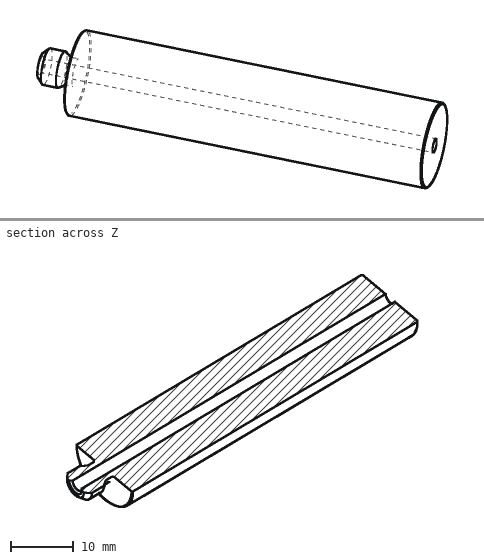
import cadquery as cq

total_length = 66.0
body_diameter = 14.0
body_edge_chamfer = 0.2

nipple_length = 6.0
head_diameter = 6.0
nose_radius = 2.1
nose_chamfer_length = 0.9
head_length = 3.4
neck_radius = 2.25
neck_start = 4.55
neck_blend_radius = 0.5
neck_root_fillet = 0.4

bore_radius = 1.1
bore_mouth_chamfer = 0.4

body_radius = body_diameter / 2
head_radius = head_diameter / 2
x_start = -total_length / 2
x_end = total_length / 2
x_shoulder = x_start + nipple_length


def make_body():
    """Long cylinder with both rims chamfered."""
    return (
        cq.Workplane("YZ", origin=(x_shoulder, 0, 0))
        .circle(body_radius)
        .extrude(total_length - nipple_length)
        .edges("%CIRCLE")
        .chamfer(body_edge_chamfer)
    )


def make_nipple():
    """Revolved nipple: tapered nose, cylindrical head, cone down to the neck."""
    nipple = (
        cq.Workplane("XY")
        .moveTo(x_start, 0)
        .lineTo(x_start, nose_radius)
        .lineTo(x_start + nose_chamfer_length, head_radius)
        .lineTo(x_start + head_length, head_radius)
        .lineTo(x_start + neck_start, neck_radius)
        .lineTo(x_shoulder, neck_radius)
        .lineTo(x_shoulder, 0)
        .close()
        .revolve(360, (0, 0, 0), (1, 0, 0))
    )
    neck_junction = cq.selectors.NearestToPointSelector((x_start + neck_start, 0, 0))
    return nipple.edges("%CIRCLE").edges(neck_junction).fillet(neck_blend_radius)


def make_neck_root():
    """Concave flare joining the neck to the flat shoulder of the body."""
    flare_radius = neck_radius + neck_root_fillet
    return (
        cq.Workplane("XY")
        .moveTo(x_shoulder - neck_root_fillet, 0)
        .lineTo(x_shoulder - neck_root_fillet, neck_radius)
        .radiusArc((x_shoulder, flare_radius), -neck_root_fillet)
        .lineTo(x_shoulder, 0)
        .close()
        .revolve(360, (0, 0, 0), (1, 0, 0))
    )


def make_bore():
    """Through bore with a conical mouth at the nose."""
    mouth_radius = bore_radius + bore_mouth_chamfer
    return (
        cq.Workplane("XY")
        .moveTo(x_start, 0)
        .lineTo(x_start, mouth_radius)
        .lineTo(x_start + bore_mouth_chamfer, bore_radius)
        .lineTo(x_end, bore_radius)
        .lineTo(x_end, 0)
        .close()
        .revolve(360, (0, 0, 0), (1, 0, 0))
    )


result = make_body().union(make_nipple()).union(make_neck_root()).cut(make_bore())